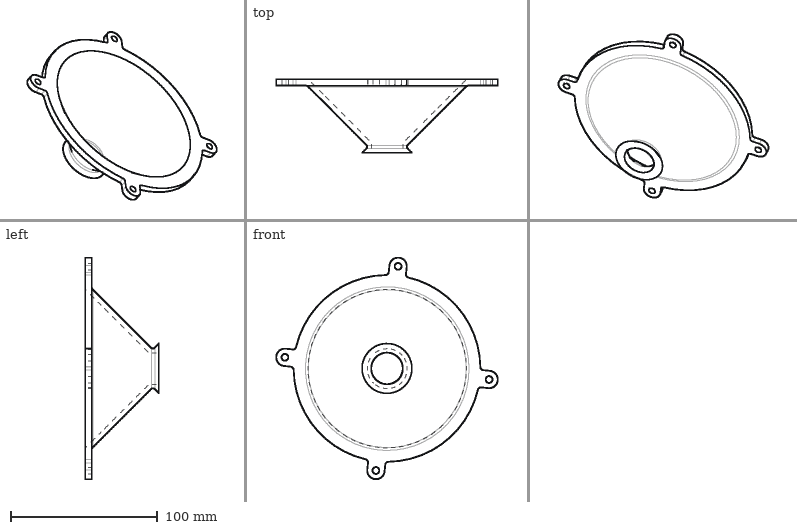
import cadquery as cq
import math

total_depth = 50.24

flange_radius = 63.75
flange_thickness = 4.5

lug_count = 4
lug_tilt = 6.2
lug_pitch_radius = 70.0
lug_radius = 6.0
lug_hole_diameter = 4.5
lug_root_fillet = 2.0

cone_base_radius = 54.65
cone_half_angle = 45.0
base_fillet = 2.7

tip_radius = 17.0
neck_radius = 13.6

bore_radius = 10.7
bore_corner_length = 6.9
bore_fillet = 1.5

slope = math.tan(math.radians(cone_half_angle))
waist_depth = (total_depth + flange_thickness + (cone_base_radius - tip_radius) / slope) / 2
waist_radius = tip_radius - slope * (total_depth - waist_depth)
neck_half_turn = math.radians(cone_half_angle)
neck_arc_radius = (neck_radius - waist_radius) / (1 / math.cos(neck_half_turn) - 1)
base_turn = math.radians(90 - cone_half_angle)
base_outer_radius = cone_base_radius + base_fillet * math.tan(base_turn / 2)
bore_corner_depth = total_depth - bore_corner_length
mouth_radius = bore_radius + slope * bore_corner_depth


def revolve_about_axis(profile):
    return profile.revolve(360, (0, 0, 0), (0, 1, 0))


def base_point(turn):
    """Point on the base arc; turn 0 lies on the flange front."""
    radius = base_outer_radius - base_fillet * math.sin(turn)
    return radius, -flange_thickness - base_fillet * (1 - math.cos(turn))


def neck_point(turn):
    """Point on the neck arc; turn 0 is the narrowest point, positive toward the flare."""
    radius = neck_radius + neck_arc_radius * (1 - math.cos(turn))
    return radius, -waist_depth - neck_arc_radius * math.sin(turn)


def make_funnel():
    """Solid cone with a rounded neck and a flared tip."""
    profile = (
        cq.Workplane("XY")
        .lineTo(base_outer_radius, 0)
        .lineTo(*base_point(0))
        .threePointArc(base_point(base_turn / 2), base_point(base_turn))
        .lineTo(*neck_point(-neck_half_turn))
        .threePointArc(neck_point(0), neck_point(neck_half_turn))
        .lineTo(tip_radius, -total_depth)
        .lineTo(0, -total_depth)
        .close()
    )
    return revolve_about_axis(profile)


def make_passage():
    """Inner cone, widest at the flange back, leading through a rounded corner into the bore."""
    profile = (
        cq.Workplane("XY")
        .lineTo(mouth_radius, 0)
        .lineTo(bore_radius, -bore_corner_depth)
        .lineTo(bore_radius, -total_depth)
        .lineTo(0, -total_depth)
        .close()
    )
    passage = revolve_about_axis(profile)
    return passage.edges(cq.selectors.RadiusNthSelector(0)).edges(">Y").fillet(bore_fillet)


def make_lug():
    """Round-ended lug along X, reaching from the funnel axis to beyond the rim."""
    lug_bar = cq.Workplane("XZ").center(lug_pitch_radius / 2, 0).rect(lug_pitch_radius, 2 * lug_radius)
    lug_end = cq.Workplane("XZ").center(lug_pitch_radius, 0).circle(lug_radius)
    return lug_bar.extrude(flange_thickness).union(lug_end.extrude(flange_thickness))


def make_flange():
    """Round plate with lugs blended into its rim."""
    flange = cq.Workplane("XZ").circle(flange_radius).extrude(flange_thickness)
    lug = make_lug()
    lug_angles = [index * 360 / lug_count - lug_tilt for index in range(lug_count)]
    for angle in lug_angles:
        flange = flange.union(lug.rotate((0, 0, 0), (0, 1, 0), -angle))

    root_angle = math.asin(lug_radius / flange_radius)
    for angle in lug_angles:
        for side in (-1, 1):
            direction = math.radians(angle) + side * root_angle
            root_point = (
                flange_radius * math.cos(direction),
                -flange_thickness / 2,
                flange_radius * math.sin(direction),
            )
            root_edge = cq.selectors.NearestToPointSelector(root_point)
            flange = flange.edges("|Y").edges(root_edge).fillet(lug_root_fillet)
    return flange


def make_lug_holes():
    holes = cq.Workplane("XZ").polarArray(lug_pitch_radius, -lug_tilt, 360, lug_count)
    return holes.circle(lug_hole_diameter / 2).extrude(flange_thickness)


body = make_flange().union(make_funnel())
result = body.cut(make_passage()).cut(make_lug_holes())